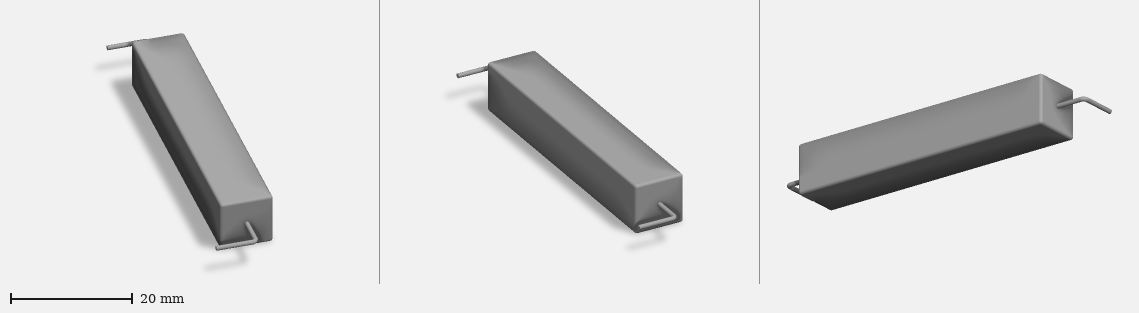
import cadquery as cq

body_length = 50.0
body_side = 9.0
edge_radius = 0.5

overall_length = 61.75
overall_depth = 11.5
lead_diameter = 0.8
bend_radius = 0.75

lead_radius = lead_diameter / 2
body_end_x = body_length / 2
lead_x = overall_length / 2 - lead_radius
lead_tip_y = body_side / 2 - overall_depth
bend_start_x = lead_x - bend_radius


def make_body():
    """Square bar with every edge rounded."""
    return cq.Workplane("XY").box(body_length, body_side, body_side).edges().fillet(edge_radius)


def make_lead():
    """Wire leaving the +X end face at its centre and turning towards -Y."""
    straight_out = (
        cq.Workplane("YZ", origin=(body_end_x, 0, 0))
        .circle(lead_radius)
        .extrude(bend_start_x - body_end_x)
    )
    bend = (
        cq.Workplane("YZ", origin=(bend_start_x, 0, 0))
        .circle(lead_radius)
        .revolve(90, (-bend_radius, 0.6, 0), (-bend_radius, 0, 0))
    )
    leg = (
        cq.Workplane("XZ", origin=(lead_x, -bend_radius, 0))
        .circle(lead_radius)
        .extrude(-lead_tip_y - bend_radius)
    )
    return straight_out.union(bend).union(leg)


right_lead = make_lead()
left_lead = right_lead.mirror("YZ")
result = make_body().union(right_lead).union(left_lead)